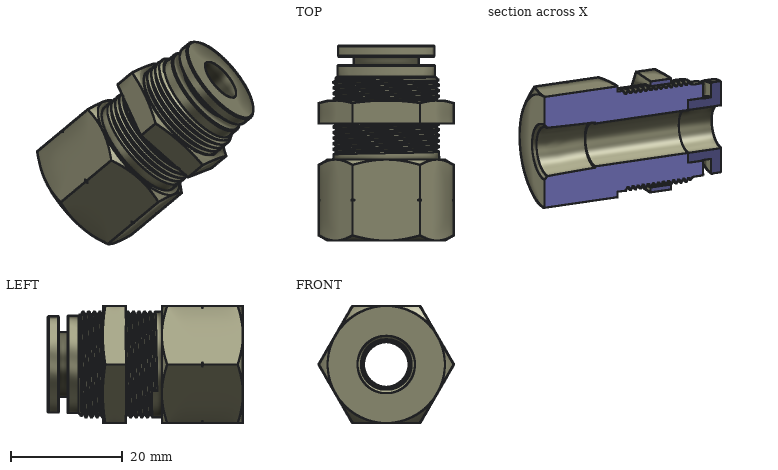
import cadquery as cq
import math

ACROSS_FLATS = 21.0
FLAT_RADIUS = ACROSS_FLATS / 2
CORNER_RADIUS = FLAT_RADIUS / math.cos(math.radians(30))

HEX_LENGTH = 14.5
THREAD_END = 29.4
BODY_END = 31.45
RING_LENGTH_OUT = 3.52
OVERALL_LENGTH = BODY_END + RING_LENGTH_OUT

HEX_CHAMFER_ANGLE = 30
NECK_RADIUS = 8.75
NECK_CHAMFER = 0.2
CORNER_GROOVE_DEPTH = 0.2
CORNER_GROOVE_WIDTH = 0.25

THREAD_RADIUS = 9.5
THREAD_PITCH = 1.0
THREAD_DEPTH = 0.65
ROOT_FLAT = 0.15
THREAD_FLANK_ANGLE = 30
THREAD_START = 15.77
THREAD_START_ANGLE = 150
SEAM_ANGLE = 30

BORE_RADIUS = 4.0
MOUTH_RADIUS = 5.15
CREST_RADIUS = 4.55
FEMALE_DEPTH = 10.0
FEMALE_PITCH = 25.4 / 27
FEMALE_THREAD_DEPTH = 0.6
FEMALE_THREAD_LENGTH = 8.9
FEMALE_START_ANGLE = 180
TAPER = 1 / 32

NUT_START = 20.97
NUT_LENGTH = 4.1
NUT_CHAMFER_ANGLE = 15

FLANGE_RADIUS = 8.65
FLANGE_THICKNESS = 2.05
FLANGE_CHAMFER = 0.2
STEM_RADIUS = 5.85
STEM_DEPTH = 3.0

OVERCUT = 0.05
CYLINDRICAL = 360


def revolved(points):
    """Solid of revolution about Y from (radius, y) points."""
    profile = cq.Workplane("XY").transformed(rotate=(0, SEAM_ANGLE, 0)).polyline(points).close()
    return profile.revolve(360, (0, 0), (0, 1))


def cylinder(radius, start, end):
    return revolved([(0, start), (radius, start), (radius, end), (0, end)])


def hexagon(start, length):
    """Hexagonal prism along Y with corners on the X axis."""
    return (
        cq.Workplane("XZ", origin=(0, start, 0))
        .polygon(6, 2 * CORNER_RADIUS)
        .extrude(-length)
    )


def corner_rise(angle):
    """Length along Y that a chamfer cone takes from the flats out to the corners."""
    return (CORNER_RADIUS - FLAT_RADIUS) * math.tan(math.radians(angle))


def thread_cutter(surface_radius, depth, pitch, start, length, start_angle, taper=CYLINDRICAL):
    """Right-hand groove with a flat root along Y, shaped as a helical bar of trapezoid section.

    A positive depth cuts outward from the surface, a negative depth cuts inward.
    The start angle runs from +X toward -Z.
    """
    outward = math.copysign(1, depth)
    half_root = ROOT_FLAT / 2
    half_mouth = half_root + (abs(depth) + OVERCUT) * math.tan(math.radians(THREAD_FLANK_ANGLE))
    root = surface_radius + depth
    mouth = surface_radius - outward * OVERCUT
    section = [(mouth, -half_mouth), (root, -half_root), (root, half_root), (mouth, half_mouth)]
    edges = [
        cq.Wire.makeHelix(pitch, length, radius, center=cq.Vector(0, 0, offset), angle=taper)
        for radius, offset in section
    ]
    faces = []
    for edge, next_edge in zip(edges, edges[1:] + edges[:1]):
        faces.extend(cq.Face.makeRuledSurface(edge, next_edge).Faces())
    for end in (0, 1):
        corners = [edge.positionAt(end) for edge in edges]
        faces.append(cq.Face.makeFromWires(cq.Wire.makePolygon(corners, close=True)))
    groove = cq.Solid.makeSolid(cq.Shell.makeShell(faces)).fix()
    return (
        cq.Workplane(obj=groove)
        .rotate((0, 0, 0), (0, 0, 1), start_angle)
        .rotate((0, 0, 0), (1, 0, 0), -90)
        .translate((0, start, 0))
    )


def make_body():
    rise = corner_rise(HEX_CHAMFER_ANGLE)
    hex_envelope = revolved([
        (0, 0), (FLAT_RADIUS, 0), (CORNER_RADIUS, rise),
        (CORNER_RADIUS, HEX_LENGTH - rise), (FLAT_RADIUS, HEX_LENGTH), (0, HEX_LENGTH),
    ])
    groove_half = CORNER_GROOVE_WIDTH / 2
    corner_groove = revolved([
        (CORNER_RADIUS, HEX_LENGTH / 2 - groove_half),
        (CORNER_RADIUS - CORNER_GROOVE_DEPTH, HEX_LENGTH / 2),
        (CORNER_RADIUS, HEX_LENGTH / 2 + groove_half),
    ])
    hex_end = hexagon(0, HEX_LENGTH).intersect(hex_envelope).cut(corner_groove)
    barrel = revolved([
        (0, HEX_LENGTH), (THREAD_RADIUS, HEX_LENGTH),
        (THREAD_RADIUS, THREAD_END - (THREAD_RADIUS - NECK_RADIUS)), (NECK_RADIUS, THREAD_END),
        (NECK_RADIUS, BODY_END - NECK_CHAMFER), (NECK_RADIUS - NECK_CHAMFER, BODY_END), (0, BODY_END),
    ])
    outside_groove = thread_cutter(
        THREAD_RADIUS, -THREAD_DEPTH, THREAD_PITCH,
        THREAD_START, THREAD_END + THREAD_PITCH - THREAD_START, THREAD_START_ANGLE,
    )
    barrel = barrel.cut(outside_groove)
    mouth_depth = MOUTH_RADIUS - CREST_RADIUS
    bore = revolved([
        (0, 0), (MOUTH_RADIUS, 0), (CREST_RADIUS - TAPER * mouth_depth, mouth_depth),
        (CREST_RADIUS - TAPER * FEMALE_DEPTH, FEMALE_DEPTH),
        (BORE_RADIUS, FEMALE_DEPTH), (BORE_RADIUS, BODY_END), (0, BODY_END),
    ])
    female_groove = thread_cutter(
        CREST_RADIUS + TAPER * FEMALE_PITCH, FEMALE_THREAD_DEPTH, FEMALE_PITCH,
        -FEMALE_PITCH, FEMALE_THREAD_LENGTH + FEMALE_PITCH, FEMALE_START_ANGLE,
        taper=-math.degrees(math.atan(TAPER)),
    )
    stem_seat = cylinder(STEM_RADIUS, BODY_END - STEM_DEPTH, BODY_END)
    return hex_end.cut(bore).cut(female_groove).union(barrel.cut(bore)).cut(stem_seat)


def make_nut():
    end = NUT_START + NUT_LENGTH
    envelope = revolved([
        (0, NUT_START), (CORNER_RADIUS, NUT_START),
        (CORNER_RADIUS, end - corner_rise(NUT_CHAMFER_ANGLE)), (FLAT_RADIUS, end), (0, end),
    ])
    return hexagon(NUT_START, NUT_LENGTH).intersect(envelope).cut(cylinder(THREAD_RADIUS, NUT_START, end))


def make_release_ring():
    flange_start = OVERALL_LENGTH - FLANGE_THICKNESS
    rim = FLANGE_RADIUS - FLANGE_CHAMFER
    return revolved([
        (BORE_RADIUS, BODY_END - STEM_DEPTH), (STEM_RADIUS, BODY_END - STEM_DEPTH),
        (STEM_RADIUS, flange_start), (rim, flange_start),
        (FLANGE_RADIUS, flange_start + FLANGE_CHAMFER),
        (FLANGE_RADIUS, OVERALL_LENGTH - FLANGE_CHAMFER), (rim, OVERALL_LENGTH),
        (BORE_RADIUS, OVERALL_LENGTH),
    ])


body = make_body()
nut = make_nut()
release_ring = make_release_ring()

result = cq.Compound.makeCompound([body.val(), nut.val(), release_ring.val()])